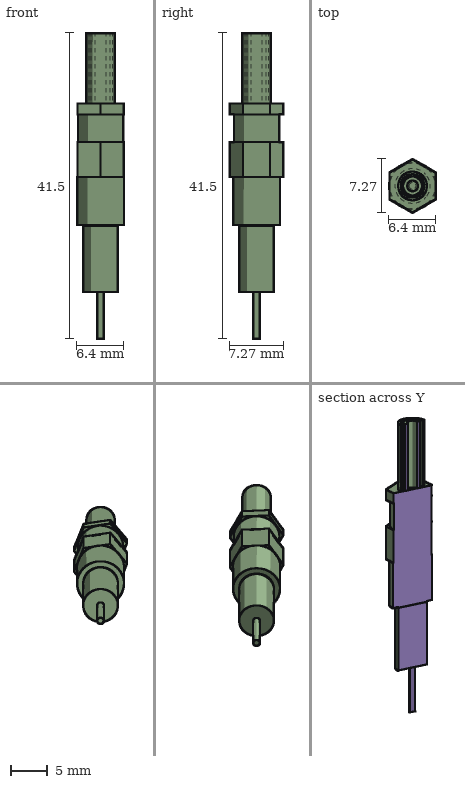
import cadquery as cq

SLEEVE_BOTTOM = 6.35
SLEEVE_TOP = 15.32
BARREL_BOTTOM = 15.45
GRIP_BOTTOM = 21.95
GRIP_TOP = 26.7
FLANGE_BOTTOM = 30.5
FLANGE_TOP = 31.98
TOTAL_HEIGHT = 41.55

HEX_WIDTH = 6.3
BARREL_DIAMETER = 6.4
COLLAR_DIAMETER = 6.2
TUBE_DIAMETER = 3.9
TUBE_BORE = 3.2
SOCKET_DIAMETER = 2.57
SOCKET_BORE = 1.45
SLEEVE_DIAMETER = 4.75
WIRE_DIAMETER = 0.9


def cylinder(diameter, bottom, top):
    """Solid cylinder on the Z axis between two heights."""
    return cq.Workplane("XY").workplane(offset=bottom).circle(diameter / 2).extrude(top - bottom)


def ring(diameter, bore, bottom, top):
    """Cylinder with a through bore."""
    return cylinder(diameter, bottom, top).cut(cylinder(bore, bottom, top))


def hexagon(bottom, top):
    """Hexagonal prism with two corners on the Y axis."""
    return (
        cq.Workplane("XY")
        .workplane(offset=bottom)
        .polygon(6, HEX_WIDTH, circumscribed=True)
        .extrude(top - bottom)
    )


def make_housing():
    """Turned from hexagonal bar: spigot, barrel, hexagonal grip, collar and hexagonal flange."""
    spigot = cylinder(SLEEVE_DIAMETER, SLEEVE_TOP, BARREL_BOTTOM)
    barrel = cylinder(BARREL_DIAMETER, BARREL_BOTTOM, GRIP_BOTTOM)
    grip = hexagon(GRIP_BOTTOM, GRIP_TOP)
    collar = cylinder(COLLAR_DIAMETER, GRIP_TOP, FLANGE_BOTTOM)
    flange = hexagon(FLANGE_BOTTOM, FLANGE_TOP)
    return spigot.union(barrel).union(grip).union(collar).union(flange)


def make_tube():
    """Outer tube standing on the flange."""
    return ring(TUBE_DIAMETER, TUBE_BORE, FLANGE_TOP, TOTAL_HEIGHT)


def make_socket():
    """Inner socket on the flange, with a clear gap to the tube around it."""
    return ring(SOCKET_DIAMETER, SOCKET_BORE, FLANGE_TOP, TOTAL_HEIGHT)


def make_sleeve():
    """Cable sleeve under the housing, flush with its spigot."""
    return cylinder(SLEEVE_DIAMETER, SLEEVE_BOTTOM, SLEEVE_TOP)


def make_wire():
    """Bare wire under the sleeve."""
    return cylinder(WIRE_DIAMETER, 0, SLEEVE_BOTTOM)


housing = make_housing()
tube = make_tube()
socket = make_socket()
sleeve = make_sleeve()
wire = make_wire()

result = cq.Compound.makeCompound(
    [housing.val(), tube.val(), socket.val(), sleeve.val(), wire.val()]
)